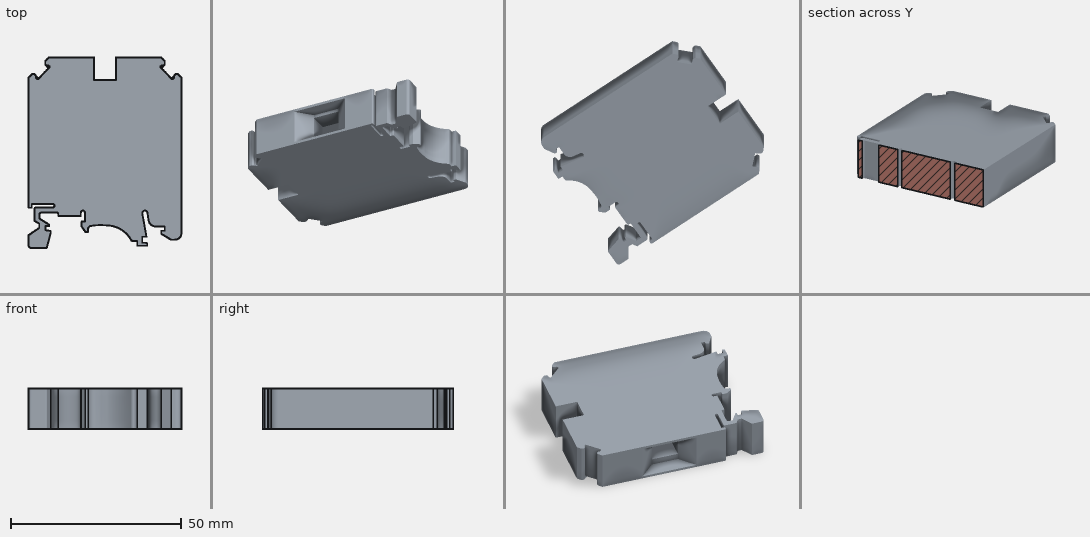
import cadquery as cq
import math

WIDTH = 45.0
HEIGHT = 56.0
THICKNESS = 12.0
MID_X = WIDTH / 2

NOTCH_WIDTH = 6.4
NOTCH_DEPTH = 6.6

SHOULDER_Y = 50.1
GROOVE_SKIN = 0.15
LOWER_LIP_START = (1.05, 51.1)
LOWER_LIP_CREST = (1.5, 51.22)
LOWER_LIP_END = (2.1, 50.75)
UPPER_LIP_BOTTOM = (4.88, 54.03)
UPPER_LIP_TOP_Y = 54.92
UPPER_LIP_END_X = 6.0
PLAIN_FLOOR = [(2.92, 49.75), (5.9, 52.82)]
UNDERCUT_FLOOR = [(2.1, 50.1), (2.73, 49.55), (6.34, 53.27), (5.83, 53.72), (5.33, 53.65)]

WALL_END_Y = 11.8
SLIT_WALL = 1.0
SLIT_TOP_Y = 12.93
SLIT_GAP = 0.98
SLIT_CENTRE_X = 7.15
ARM_LEFT_X = 1.75
ARM_RIGHT_X = 3.3
ARM_BOTTOM_Y = 8.0
NECK_X = 3.14
NECK_TOP_Y = 7.2
NECK_BOTTOM_Y = 5.95
FOOT_SHOULDER_Y = 3.8
FOOT_SOLE_X = 5.4
FOOT_TOE = (6.75, 5.05)
FOOT_TOP_Y = 5.3
ARM_UNDERSIDE_Y = 10.42
STEP_X = 8.7
STEP_Y = 9.42
CATCH_X = 5.04
CATCH_Y = 6.5
CATCH_TIP_X = 6.06
CATCH_TIP_Y = 6.94
CATCH_RAMP_Y = 8.7

RELIEF_LEFT_X = 15.44
RELIEF_WIDTH = 1.14
RELIEF_TOP_Y = 11.0
HOOK_LEFT_X = 15.58
HOOK_TOP_Y = 7.89
HOOK_BOTTOM_Y = 4.72
HOOK_RIGHT_X = 17.53
HOOK_RAMP_TOP_Y = 6.4
HOOK_TIP_X = 16.75
HOOK_ROOT_Y = 5.7

ENTRY_ARC_MID = (17.8, 6.2)
ENTRY_ARC_END = (18.4, 6.5)
SHALLOW_ARC_MID = (20.7, 6.75)
SEAT_ARC_RADIUS = 8.2
SEAT_ARC_CENTRE_X = 22.95
SEAT_ARC_TOP_Y = 6.65
SEAT_ARC_ANGLE = 60.7

TOE_LEFT_X = 31.94
TOE_RIGHT_X = 34.92
TOE_BOTTOM_Y = 0.66
TOE_SHELF_Y = 2.05
TOE_GROOVE_X = 33.5
TOE_GROOVE_BOTTOM_Y = 1.63
TOE_GROOVE_TOP_Y = 3.29
TOE_BEVEL_X = 34.36
TOE_BEVEL_Y = 1.44
TOE_HEEL_X = 34.73

JAW_ROOF_Y = 6.33
JAW_BACK_X = 39.98
JAW_LIP_X = 38.98
JAW_LIP_Y = 5.16
JAW_LIP_BOTTOM_Y = 4.19
JAW_ROOT_X = 35.52
JAW_ROOT_RADIUS = 2.2
JAW_NOSE_START_X = 41.9
JAW_NOSE_Y = 2.47
JAW_NOSE_RADIUS = 1.97
JAW_SLOT_LEFT = (33.45, 10.35)
JAW_SLOT_TOP = (34.16, 11.0)
JAW_SLOT_RIGHT = (34.92, 10.5)

FUNNEL_Y_MIN = 21.03
FUNNEL_Y_MAX = 37.66
FUNNEL_Z_MIN = 0.77
FUNNEL_Z_MAX = 11.2
FUNNEL_DEPTH = 4.3
CHAMBER_Z_MIN = 2.73
CHAMBER_Z_MAX = 10.2
CHAMBER_END_X = 10.0


def add_latch(path):
    """Slit, spring arm, foot and catch, from the left wall to the relief slot."""
    slit_radius = SLIT_GAP / 2
    slit_bottom_y = SLIT_TOP_Y - SLIT_GAP
    path = (
        path.lineTo(0, WALL_END_Y)
        .lineTo(SLIT_WALL, WALL_END_Y)
        .lineTo(SLIT_WALL, SLIT_TOP_Y)
        .lineTo(SLIT_CENTRE_X, SLIT_TOP_Y)
        .threePointArc(
            (SLIT_CENTRE_X + slit_radius, SLIT_TOP_Y - slit_radius),
            (SLIT_CENTRE_X, slit_bottom_y),
        )
        .lineTo(ARM_LEFT_X, slit_bottom_y)
        .lineTo(ARM_LEFT_X, ARM_BOTTOM_Y)
    )
    path = (
        path.lineTo(NECK_X, NECK_TOP_Y)
        .lineTo(NECK_X, NECK_BOTTOM_Y)
        .lineTo(0, FOOT_SHOULDER_Y)
        .lineTo(0, 0)
        .lineTo(FOOT_SOLE_X, 0)
        .lineTo(*FOOT_TOE)
        .lineTo(CATCH_X, FOOT_TOP_Y)
    )
    return (
        path.lineTo(CATCH_X, CATCH_Y)
        .lineTo(CATCH_TIP_X, CATCH_Y)
        .lineTo(CATCH_TIP_X, CATCH_TIP_Y)
        .lineTo(ARM_RIGHT_X, CATCH_RAMP_Y)
        .lineTo(ARM_RIGHT_X, ARM_UNDERSIDE_Y)
        .lineTo(STEP_X, ARM_UNDERSIDE_Y)
        .lineTo(STEP_X, STEP_Y)
        .lineTo(RELIEF_LEFT_X, STEP_Y)
    )


def seat_arc_point(angle):
    """Point on the seat arc, at an angle in degrees from its top toward +X."""
    turn = math.radians(angle)
    drop = SEAT_ARC_RADIUS * (1 - math.cos(turn))
    return SEAT_ARC_CENTRE_X + SEAT_ARC_RADIUS * math.sin(turn), SEAT_ARC_TOP_Y - drop


def add_rail_seat(path):
    """Relief slot, hook, arched seat and toe."""
    relief_radius = RELIEF_WIDTH / 2
    relief_right_x = RELIEF_LEFT_X + RELIEF_WIDTH
    relief_centre_y = RELIEF_TOP_Y - relief_radius
    path = (
        path.lineTo(RELIEF_LEFT_X, relief_centre_y)
        .threePointArc(
            (RELIEF_LEFT_X + relief_radius, RELIEF_TOP_Y),
            (relief_right_x, relief_centre_y),
        )
        .lineTo(relief_right_x, HOOK_TOP_Y)
        .lineTo(HOOK_LEFT_X, HOOK_TOP_Y)
        .lineTo(HOOK_LEFT_X, HOOK_RAMP_TOP_Y)
        .lineTo(HOOK_TIP_X, HOOK_BOTTOM_Y)
        .lineTo(HOOK_RIGHT_X, HOOK_BOTTOM_Y)
        .lineTo(HOOK_RIGHT_X, HOOK_ROOT_Y)
    )
    arc_end_x, arc_end_y = seat_arc_point(SEAT_ARC_ANGLE)
    end_angle = math.radians(SEAT_ARC_ANGLE)
    blend_radius = (arc_end_y - TOE_SHELF_Y) / (1 - math.cos(end_angle))
    blend_end_x = arc_end_x + blend_radius * math.sin(end_angle)
    path = (
        path.threePointArc(ENTRY_ARC_MID, ENTRY_ARC_END)
        .threePointArc(SHALLOW_ARC_MID, seat_arc_point(0))
        .threePointArc(seat_arc_point(SEAT_ARC_ANGLE / 2), (arc_end_x, arc_end_y))
        .radiusArc((blend_end_x, TOE_SHELF_Y), -blend_radius)
    )
    return (
        path.lineTo(TOE_LEFT_X, TOE_SHELF_Y)
        .lineTo(TOE_LEFT_X, TOE_BOTTOM_Y)
        .lineTo(TOE_RIGHT_X, TOE_BOTTOM_Y)
        .lineTo(TOE_RIGHT_X, TOE_BEVEL_Y)
        .lineTo(TOE_BEVEL_X, TOE_GROOVE_BOTTOM_Y)
        .lineTo(TOE_GROOVE_X, TOE_GROOVE_BOTTOM_Y)
        .lineTo(TOE_GROOVE_X, TOE_GROOVE_TOP_Y)
        .lineTo(TOE_HEEL_X, TOE_GROOVE_TOP_Y)
    )


def add_jaw(path):
    """Leaning slot beside the toe and the fixed jaw, up to the right wall."""
    return (
        path.lineTo(*JAW_SLOT_LEFT)
        .threePointArc(JAW_SLOT_TOP, JAW_SLOT_RIGHT)
        .lineTo(JAW_ROOT_X, JAW_ROOF_Y)
        .lineTo(JAW_BACK_X, JAW_ROOF_Y)
        .lineTo(JAW_BACK_X, JAW_LIP_Y)
        .lineTo(JAW_LIP_X, JAW_LIP_Y)
        .lineTo(JAW_LIP_X, JAW_LIP_BOTTOM_Y)
        .lineTo(JAW_NOSE_START_X, JAW_NOSE_Y)
        .lineTo(WIDTH - JAW_NOSE_RADIUS, JAW_NOSE_Y)
        .radiusArc((WIDTH, JAW_NOSE_Y + JAW_NOSE_RADIUS), -JAW_NOSE_RADIUS)
    )


def make_body():
    """Complete profile with square top corners, extruded to full thickness."""
    path = cq.Workplane("XY").moveTo(0, SHOULDER_Y)
    path = add_jaw(add_rail_seat(add_latch(path)))
    path = path.lineTo(WIDTH, HEIGHT).lineTo(0, HEIGHT).close()
    return path.extrude(THICKNESS)


def corner_groove(floor, depth):
    """Cutter for the left snap groove with the given floor points."""
    upper_lip_x = UPPER_LIP_BOTTOM[0]
    path = (
        cq.Workplane("XY")
        .moveTo(0, HEIGHT)
        .lineTo(0, SHOULDER_Y)
        .lineTo(*LOWER_LIP_START)
        .threePointArc(LOWER_LIP_CREST, LOWER_LIP_END)
    )
    for point in floor:
        path = path.lineTo(*point)
    path = (
        path.lineTo(*UPPER_LIP_BOTTOM)
        .lineTo(upper_lip_x, UPPER_LIP_TOP_Y)
        .lineTo(UPPER_LIP_END_X, HEIGHT)
        .close()
    )
    return path.extrude(depth)


def cut_snap_grooves(part):
    """The undercut stops just above the bottom face and leaves a thin skin."""
    through = corner_groove(PLAIN_FLOOR, THICKNESS)
    upper = corner_groove(UNDERCUT_FLOOR, THICKNESS - GROOVE_SKIN)
    left = through.union(upper.translate((0, 0, GROOVE_SKIN)))
    right = left.mirror("YZ").translate((WIDTH, 0, 0))
    return part.cut(left).cut(right)


def cut_marking_notch(part):
    notch = cq.Workplane("XY").box(NOTCH_WIDTH, NOTCH_DEPTH, THICKNESS, centered=(True, False, False))
    return part.cut(notch.translate((MID_X, HEIGHT - NOTCH_DEPTH, 0)))


def cut_wire_entry(part):
    """Funnel with 45 degree side walls, then a narrower blind chamber."""
    chamber_y_min = FUNNEL_Y_MIN + FUNNEL_DEPTH
    chamber_y_max = FUNNEL_Y_MAX - FUNNEL_DEPTH
    funnel = (
        cq.Workplane("XY")
        .workplane(offset=FUNNEL_Z_MIN)
        .moveTo(0, FUNNEL_Y_MIN)
        .lineTo(FUNNEL_DEPTH, chamber_y_min)
        .lineTo(FUNNEL_DEPTH, chamber_y_max)
        .lineTo(0, FUNNEL_Y_MAX)
        .close()
        .extrude(FUNNEL_Z_MAX - FUNNEL_Z_MIN)
    )
    chamber = (
        cq.Workplane("XY")
        .box(
            CHAMBER_END_X,
            chamber_y_max - chamber_y_min,
            CHAMBER_Z_MAX - CHAMBER_Z_MIN,
            centered=False,
        )
        .translate((0, chamber_y_min, CHAMBER_Z_MIN))
    )
    return part.cut(funnel).cut(chamber)


def round_corner(part, x, y, radius):
    """Fillet the vertical edge at (x, y)."""
    edge = cq.selectors.NearestToPointSelector((x, y, THICKNESS / 2))
    return part.edges("|Z").edges(edge).fillet(radius)


ROUNDED_CORNERS = [
    (0, WALL_END_Y, 0.4),
    (ARM_LEFT_X, SLIT_TOP_Y - SLIT_GAP, 0.5),
    (0, 0, 0.9),
    (FOOT_SOLE_X, 0, 0.5),
    (*FOOT_TOE, 0.45),
    (CATCH_X, FOOT_TOP_Y, 0.2),
    (ARM_RIGHT_X, ARM_UNDERSIDE_Y, 0.5),
    (STEP_X, ARM_UNDERSIDE_Y, 0.3),
    (STEP_X, STEP_Y, 0.3),
    (HOOK_LEFT_X, HOOK_TOP_Y, 0.3),
    (HOOK_RIGHT_X, HOOK_BOTTOM_Y, 0.2),
    (JAW_ROOT_X, JAW_ROOF_Y, JAW_ROOT_RADIUS),
    (JAW_LIP_X, JAW_LIP_Y, 0.3),
]

body = make_body()
for corner_x, corner_y, corner_radius in ROUNDED_CORNERS:
    body = round_corner(body, corner_x, corner_y, corner_radius)

body = cut_snap_grooves(body)
body = cut_marking_notch(body)
result = cut_wire_entry(body)